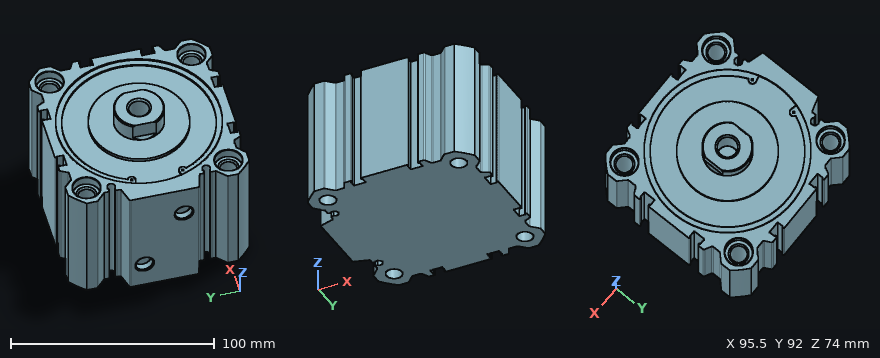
import cadquery as cq
import math


body_width = 92.0
body_height = 64.0
half_width = body_width / 2
corner_turning_diameter = 120.0
side_gap_depth = 4.1
gap_post_edge = 33.0
gap_pad_edge = 22.0
gap_pad_slope_run = 2.1
profile_round = 0.5
gap_slope_round = 0.8

slot_offset = 15.65
slot_mouth_width = 5.2
slot_inner_width = 6.4
slot_lip = 1.1
slot_depth = 4.4

port_pad_face_x = -49.5
port_side_floor_x = -41.3
pad_face_width = 35.1
pad_root_width = 40.0
keyhole_offset = 24.1
keyhole_center_x = -38.4
keyhole_diameter = 4.0
keyhole_neck_width = 3.0

port_diameter = 8.57
port_mouth_diameter = 9.73
port_depth = 4.0
port_places = [(-10.0, 47.0), (10.0, 15.0)]

bolt_offset = 36.0
bolt_hole_diameter = 8.38
bolt_thread_mouth_diameter = 10.11
counterbore_diameter = 13.7
counterbore_mouth_diameter = 14.2
counterbore_depth = 5.0

bore_diameter = 82.0
cover_depth = 1.7
ring_top_depth = 0.9
ring_inner_diameter = 76.0
ring_height = cover_depth - ring_top_depth
ring_ear_angle = 160.0
ring_ear_edge_angle = 167.0
ring_ear_radius = 2.0
ring_ear_center_radius = ring_inner_diameter / 2
ring_ear_hole_diameter = 1.0
boss_diameter = 50.0

rod_diameter = 25.0
rod_top = 74.0
rod_embedded_length = 30.0
rod_bottom = body_height - rod_embedded_length
rod_chamfer_height = 0.75
rod_chamfer_width = 0.5
flat_width = 22.0
flat_bottom = 65.5
rod_thread_diameter = 10.11
rod_thread_mouth_diameter = 12.0
rod_thread_depth = 22.0


def rounded_edges(solid, places, radius):
    """Round the vertical edges of a prism from Z = 0 at the given (X, Y) places."""
    upright_edges = solid.edges("|Z")
    mid_height = body_height / 2
    corners = [
        upright_edges.edges(cq.selectors.NearestToPointSelector((x, y, mid_height))).val()
        for x, y in places
    ]
    return solid.newObject(corners).fillet(radius)


def countersink(mouth_diameter, hole_diameter):
    """45 degree cone opening upward, its mouth at Z = 0."""
    depth = (mouth_diameter - hole_diameter) / 2
    return cq.Workplane("XY").add(
        cq.Solid.makeCone(hole_diameter / 2, mouth_diameter / 2, depth, cq.Vector(0, 0, -depth))
    )


def stepped_hole(diameter, mouth_diameter, depth):
    """Hole down from Z = 0 with a 45 degree chamfer at its mouth."""
    hole = cq.Workplane("XY").circle(diameter / 2).extrude(-depth)
    return hole.union(countersink(mouth_diameter, diameter))


def side_gap():
    """Relief between post and pad on the +X side, at +Y."""
    floor_x = half_width - side_gap_depth
    return (
        cq.Workplane("XY")
        .moveTo(half_width, gap_post_edge)
        .lineTo(floor_x, gap_post_edge - side_gap_depth)
        .lineTo(floor_x, gap_pad_edge + gap_pad_slope_run)
        .lineTo(half_width, gap_pad_edge)
        .close()
        .extrude(body_height)
    )


def sensor_slot():
    """T-slot on the +X side, at +Y."""
    mouth = (
        cq.Workplane("XY")
        .center(half_width - slot_depth / 2, slot_offset)
        .rect(slot_depth, slot_mouth_width)
        .extrude(body_height)
    )
    inner_depth = slot_depth - slot_lip
    inner = (
        cq.Workplane("XY")
        .center(half_width - slot_depth + inner_depth / 2, slot_offset)
        .rect(inner_depth, slot_inner_width)
        .extrude(body_height)
    )
    return mouth.union(inner)


def port_side_relief():
    """Recess over the whole -X side between its two corner posts."""
    floor_half = gap_post_edge - (half_width + port_side_floor_x)
    return (
        cq.Workplane("XY")
        .moveTo(-half_width, gap_post_edge)
        .lineTo(port_side_floor_x, floor_half)
        .lineTo(port_side_floor_x, -floor_half)
        .lineTo(-half_width, -gap_post_edge)
        .close()
        .extrude(body_height)
    )


def port_pad():
    return (
        cq.Workplane("XY")
        .moveTo(port_pad_face_x, pad_face_width / 2)
        .lineTo(port_side_floor_x, pad_root_width / 2)
        .lineTo(port_side_floor_x, -pad_root_width / 2)
        .lineTo(port_pad_face_x, -pad_face_width / 2)
        .close()
        .extrude(body_height)
    )


def keyhole_groove():
    """Round groove with a narrow neck on the -X side, at +Y."""
    neck_length = keyhole_center_x - port_side_floor_x
    round_part = (
        cq.Workplane("XY")
        .center(keyhole_center_x, keyhole_offset)
        .circle(keyhole_diameter / 2)
        .extrude(body_height)
    )
    neck = (
        cq.Workplane("XY")
        .center(port_side_floor_x + neck_length / 2, keyhole_offset)
        .rect(neck_length, keyhole_neck_width)
        .extrude(body_height)
    )
    return round_part.union(neck)


def bolt_hole():
    """Through hole with a chamfered counterbore, its mouth at Z = 0."""
    counterbore = stepped_hole(counterbore_diameter, counterbore_mouth_diameter, counterbore_depth)
    thread = stepped_hole(
        bolt_hole_diameter, bolt_thread_mouth_diameter, body_height - counterbore_depth
    )
    return counterbore.union(thread.translate((0, 0, -counterbore_depth)))


def port():
    """Port hole with its mouth at the origin, running along +X."""
    hole = stepped_hole(port_diameter, port_mouth_diameter, port_depth)
    return hole.rotate((0, 0, 0), (0, 1, 0), -90)


def ring_ear(side):
    """Ear at the end of the retaining ring; side is +1 or -1 for its Y sign."""
    reach = bore_diameter / 2 - ring_inner_diameter / 2 + ring_ear_radius
    angle = math.radians(ring_ear_angle)
    center_x = ring_ear_center_radius * math.cos(angle)
    center_y = ring_ear_center_radius * math.sin(angle) * side
    eye = cq.Workplane("XY").circle(ring_ear_radius).extrude(ring_height)
    tab = (
        cq.Workplane("XY")
        .center(reach / 2, 0)
        .rect(reach, 2 * ring_ear_radius)
        .extrude(ring_height)
        .rotate((0, 0, 0), (0, 0, 1), ring_ear_edge_angle * side)
    )
    hole = cq.Workplane("XY").circle(ring_ear_hole_diameter / 2).extrude(ring_height)
    return eye.union(tab).translate((center_x, center_y, 0)), hole.translate((center_x, center_y, 0))


def retaining_ring():
    """Open ring, its underside at Z = 0."""
    bore_disc = cq.Workplane("XY").circle(bore_diameter / 2).extrude(ring_height)
    opening = (
        cq.Workplane("XY")
        .moveTo(0, 0)
        .lineTo(-bore_diameter, bore_diameter * math.tan(math.radians(180 - ring_ear_angle)))
        .lineTo(-bore_diameter, -bore_diameter * math.tan(math.radians(180 - ring_ear_angle)))
        .close()
        .extrude(ring_height)
    )
    ring = bore_disc.cut(cq.Workplane("XY").circle(ring_inner_diameter / 2).extrude(ring_height))
    ring = ring.cut(opening)
    for side in (1, -1):
        ear, hole = ring_ear(side)
        ring = ring.union(ear.intersect(bore_disc)).cut(hole)
    return ring


def on_slotted_sides(one_half):
    """Repeat places on the +Y half of the +X side over all of the +X, +Y and -Y sides."""
    right_side = [(x, y * side) for x, y in one_half for side in (1, -1)]
    upper_side = [(y, x) for x, y in right_side]
    lower_side = [(y, -x) for x, y in right_side]
    return right_side + upper_side + lower_side


def slotted_side_corners():
    """Places of the corners at the posts and at the slot mouths."""
    return on_slotted_sides([
        (half_width, gap_post_edge),
        (half_width - side_gap_depth, gap_post_edge - side_gap_depth),
        (half_width, slot_offset + slot_mouth_width / 2),
        (half_width, slot_offset - slot_mouth_width / 2),
    ])


def gap_slope_corners():
    """Places of the corners at the head and foot of each slope."""
    return on_slotted_sides([
        (half_width, gap_pad_edge),
        (half_width - side_gap_depth, gap_pad_edge + gap_pad_slope_run),
    ])


def port_side_corners():
    """Places of the rounded corners on the -X side."""
    one_half = [
        (-half_width, gap_post_edge),
        (port_side_floor_x, keyhole_offset + keyhole_neck_width / 2),
        (port_side_floor_x, keyhole_offset - keyhole_neck_width / 2),
        (port_side_floor_x, pad_root_width / 2),
        (port_pad_face_x, pad_face_width / 2),
    ]
    return [(x, y * side) for x, y in one_half for side in (1, -1)]


def make_housing():
    body = cq.Workplane("XY").rect(body_width, body_width).extrude(body_height)
    body = body.intersect(
        cq.Workplane("XY").circle(corner_turning_diameter / 2).extrude(body_height)
    )

    for feature in (side_gap(), sensor_slot()):
        for cutter in (feature, feature.mirror("XZ")):
            for turn in (-90, 0, 90):
                body = body.cut(cutter.rotate((0, 0, 0), (0, 0, 1), turn))

    body = body.cut(port_side_relief()).union(port_pad())
    groove = keyhole_groove()
    body = body.cut(groove).cut(groove.mirror("XZ"))
    body = rounded_edges(body, slotted_side_corners() + port_side_corners(), profile_round)
    body = rounded_edges(body, gap_slope_corners(), gap_slope_round)
    for y, z in port_places:
        body = body.cut(port().translate((port_pad_face_x, y, z)))

    for x in (-bolt_offset, bolt_offset):
        for y in (-bolt_offset, bolt_offset):
            body = body.cut(bolt_hole().translate((x, y, body_height)))

    cover_level = body_height - cover_depth
    recess = (
        cq.Workplane("XY", origin=(0, 0, cover_level))
        .circle(bore_diameter / 2)
        .circle(boss_diameter / 2)
        .extrude(cover_depth)
    )
    body = body.cut(recess).union(retaining_ring().translate((0, 0, cover_level)))

    seat = (
        cq.Workplane("XY", origin=(0, 0, rod_bottom))
        .circle(rod_diameter / 2)
        .extrude(rod_embedded_length)
    )
    return body.cut(seat)


def wrench_flat():
    """Cut for the +X flat, with a 45 degree run-out at its foot."""
    flat_x = flat_width / 2
    flat_depth = rod_diameter / 2 - flat_x
    return (
        cq.Workplane("XZ")
        .moveTo(flat_x, rod_top)
        .lineTo(flat_x, flat_bottom)
        .lineTo(flat_x + flat_depth, flat_bottom - flat_depth)
        .lineTo(flat_x + flat_depth, rod_top)
        .close()
        .extrude(rod_diameter / 2, both=True)
    )


def make_rod():
    radius = rod_diameter / 2
    rod = (
        cq.Workplane("XZ")
        .moveTo(0, rod_bottom)
        .lineTo(radius, rod_bottom)
        .lineTo(radius, rod_top - rod_chamfer_height)
        .lineTo(radius - rod_chamfer_width, rod_top)
        .lineTo(0, rod_top)
        .close()
        .revolve(360, (0, 0, 0), (0, 1, 0))
    )
    flat = wrench_flat()
    rod = rod.cut(flat).cut(flat.mirror("YZ"))
    thread = stepped_hole(rod_thread_diameter, rod_thread_mouth_diameter, rod_thread_depth)
    return rod.cut(thread.translate((0, 0, rod_top)))


housing = make_housing()
rod = make_rod()

result = cq.Compound.makeCompound([housing.val(), rod.val()])